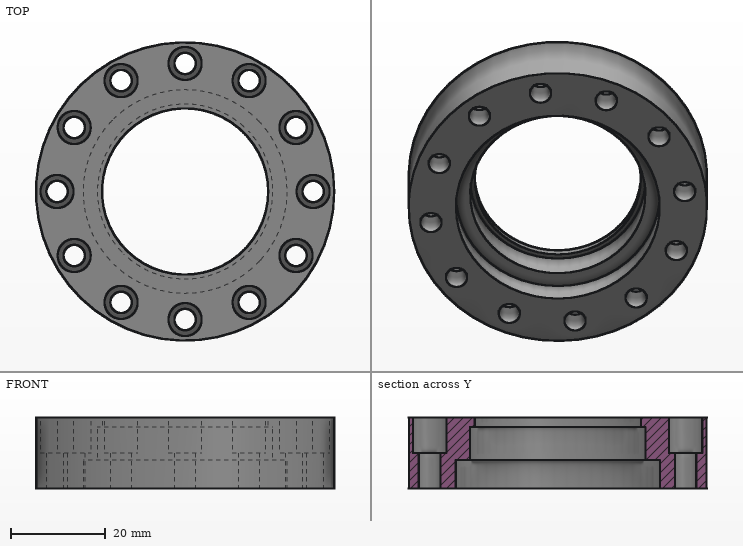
import cadquery as cq

outer_diameter = 63.0
height = 15.0

lip_diameter = 35.0
lip_height = 2.0
relief_diameter = 37.0
seat_diameter = 43.0
seat_depth = 6.0

bolt_count = 12
bolt_circle_radius = 27.0
bolt_hole_diameter = 4.5
counterbore_diameter = 7.0
counterbore_depth = height / 2


def cylinder(diameter, base_z, length):
    """Solid cylinder on the ring axis, rising from base_z."""
    return cq.Workplane("XY").workplane(offset=base_z).circle(diameter / 2).extrude(length)


def make_ring():
    """Outer disc with the three-step bore removed."""
    relief_top = height - lip_height
    ring = cylinder(outer_diameter, 0, height)
    ring = ring.cut(cylinder(lip_diameter, 0, height))
    ring = ring.cut(cylinder(relief_diameter, 0, relief_top))
    return ring.cut(cylinder(seat_diameter, 0, seat_depth))


def add_bolt_holes(ring):
    """Evenly spaced through holes, counterbored from the top face."""
    return (
        ring.faces(">Z")
        .workplane(origin=(0, 0, height))
        .polarArray(bolt_circle_radius, 0, 360, bolt_count)
        .cboreHole(bolt_hole_diameter, counterbore_diameter, counterbore_depth)
    )


result = add_bolt_holes(make_ring())